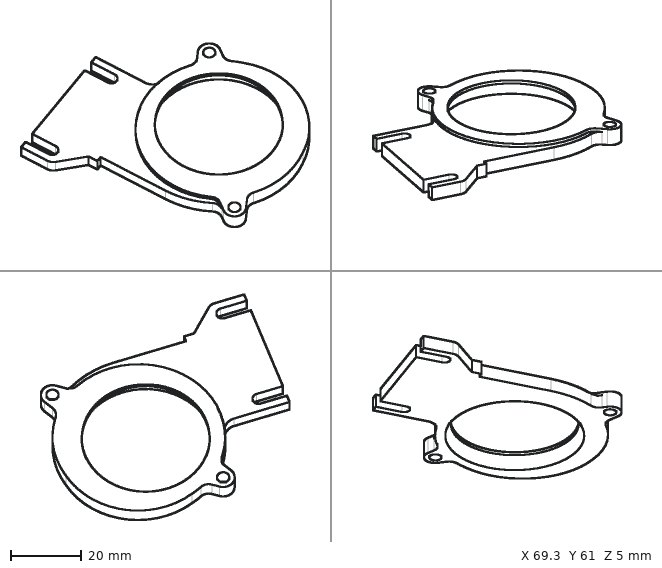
import cadquery as cq
import math

plate_thickness = 4.0
total_height = 5.0

ring_center = (44.65, 36.1)
ring_radius = 24.6
swell_center = (45.4, 37.43)
swell_radius = 23.6

bore_center = (42.93, 37.17)
bore_radius = 18.22
bore_flare_radius = 19.8

lug_centers = [(26.62, 57.15), (63.08, 14.5)]
lug_radius = 3.3
lug_hole_radius = 1.75
lug_flank_angle = 12.5
lug_fillet_radius = 3.0
lug_overlap = 1.0

plate_top = 38.75
plate_bottom = 9.4
plate_corner_radius = 4.0
neck_radius = 22.7
step_bottom = 7.7
step_start = 17.9
step_end = 20.9
tab_end = step_start - step_bottom
tab_bend_radius = 3.0
bulge_radius = bore_center[1] - plate_bottom

slot_width = 3.4
slot_length = 9.7
slot_inset = 4.0


def polar(center, radius, angle):
    """Point at a distance and an angle in degrees from a center."""
    turn = math.radians(angle)
    return (center[0] + radius * math.cos(turn), center[1] + radius * math.sin(turn))


def direction(start, end):
    """Angle in degrees of the line from one point to another."""
    return math.degrees(math.atan2(end[1] - start[1], end[0] - start[0]))


def cylinder(center, radius, height):
    return cq.Workplane("XY").center(*center).circle(radius).extrude(height)


def seamed_disk(center, radius, height):
    """Disk whose wall seam points at a lug, which covers it."""
    disk = cylinder((0, 0), radius, height)
    seam_angle = direction(ring_center, lug_centers[1])
    return disk.rotate((0, 0, 0), (0, 0, 1), seam_angle).translate((*center, 0))


def lug_flank(center, side):
    """Tangent point and inward heading of a lug flank; side is +1 (left) or -1 (right)."""
    heading = direction(center, ring_center) + side * lug_flank_angle
    return polar(center, lug_radius, heading + side * 90), heading


def flank_corner(center, side, circle_center, circle_radius):
    """Point where a lug flank runs into a circle."""
    start, heading = lug_flank(center, side)
    angle_off = math.radians(heading - direction(start, circle_center))
    reach = math.dist(start, circle_center)
    half_chord = math.sqrt(circle_radius**2 - (reach * math.sin(angle_off)) ** 2)
    return polar(start, reach * math.cos(angle_off) - half_chord, heading)


def lug(center, height):
    """Round lug whose straight flanks spread apart toward the ring."""
    left_start = lug_flank(center, 1)[0]
    right_start = lug_flank(center, -1)[0]
    left_end = flank_corner(center, 1, ring_center, ring_radius - lug_overlap)
    right_end = flank_corner(center, -1, ring_center, ring_radius - lug_overlap)
    web = (
        cq.Workplane("XY")
        .polyline([left_start, left_end, ring_center, right_end, right_start, center])
        .close()
        .extrude(height)
    )
    return cylinder(center, lug_radius, height).union(web)


def lugged_ring(height):
    """Solid ring disk with its swollen side and both lugs."""
    ring = seamed_disk(ring_center, ring_radius, height)
    ring = ring.union(seamed_disk(swell_center, swell_radius, height))
    for center in lug_centers:
        ring = ring.union(lug(center, height))
    return ring


def fillet_corners(body, corners, radius):
    """Round the upright edges nearest to the given outline points."""
    middle = body.val().BoundingBox().zmax / 2
    for corner in corners:
        edge = body.edges("|Z").edges(cq.NearestToPointSelector((*corner, middle)))
        body = edge.fillet(radius)
    return body


def base_plate():
    """Plate with its slotted tab, running into an arc about the bore that ends in a lug."""
    bulge_end_angle = direction(bore_center, lug_centers[1])
    bulge_middle_angle = (bulge_end_angle - 90) / 2
    sheet = (
        cq.Workplane("XY")
        .lineTo(tab_end, 0)
        .lineTo(step_start, step_bottom)
        .lineTo(step_end, step_bottom)
        .lineTo(step_end, plate_bottom)
        .lineTo(bore_center[0], plate_bottom)
        .threePointArc(
            polar(bore_center, bulge_radius, bulge_middle_angle),
            polar(bore_center, bulge_radius, bulge_end_angle),
        )
        .lineTo(*bore_center)
        .lineTo(bore_center[0], plate_top)
        .lineTo(0, plate_top)
        .close()
        .extrude(plate_thickness)
    )
    neck = cylinder(bore_center, neck_radius, plate_thickness)
    plate = sheet.union(lugged_ring(plate_thickness)).union(neck)

    neck_run = math.sqrt(neck_radius**2 - (plate_top - bore_center[1]) ** 2)
    plate = fillet_corners(plate, [(bore_center[0] - neck_run, plate_top)], plate_corner_radius)
    plate = fillet_corners(plate, [(tab_end, 0)], tab_bend_radius)
    upper_lug, lower_lug = lug_centers
    lug_corners = [
        flank_corner(upper_lug, 1, ring_center, ring_radius),
        flank_corner(upper_lug, -1, ring_center, ring_radius),
        flank_corner(lower_lug, -1, ring_center, ring_radius),
        flank_corner(lower_lug, 1, bore_center, bulge_radius),
    ]
    return fillet_corners(plate, lug_corners, lug_fillet_radius)


def raised_ring():
    """Full-height ring and lugs with rounded inner corners."""
    corners = [
        flank_corner(center, side, ring_center, ring_radius)
        for center in lug_centers
        for side in (1, -1)
    ]
    return fillet_corners(lugged_ring(total_height), corners, lug_fillet_radius)


def bore():
    """Straight bore through the ring that flares toward the bottom of the plate."""
    flare = (
        cq.Workplane("XY")
        .center(*bore_center)
        .circle(bore_flare_radius)
        .workplane(offset=plate_thickness)
        .circle(bore_radius)
        .loft()
    )
    return cylinder(bore_center, bore_radius, total_height).union(flare)


def open_slot(center_y):
    """Round-ended slot centered on the left edge, so only its right half cuts the plate."""
    return (
        cq.Workplane("XY")
        .center(0, center_y)
        .slot2D(2 * slot_length, slot_width)
        .extrude(plate_thickness)
    )


body = base_plate().union(raised_ring()).cut(bore())
for slot_y in (slot_inset, plate_top - slot_inset):
    body = body.cut(open_slot(slot_y))
for lug_center in lug_centers:
    body = body.cut(cylinder(lug_center, lug_hole_radius, total_height))

result = body